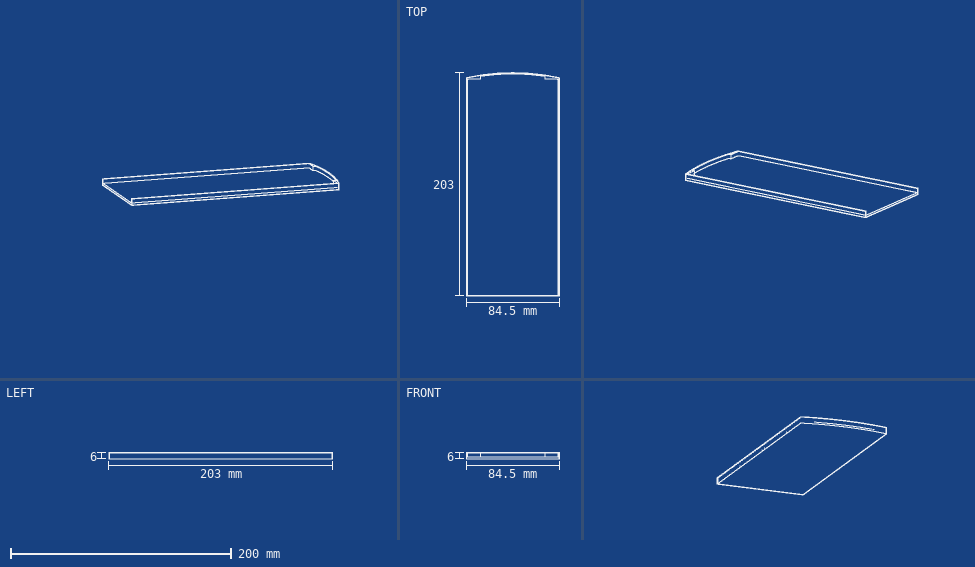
import cadquery as cq
import math

WIDTH = 84.5
LENGTH = 203.0
HEIGHT = 6.0

FLOOR_THICKNESS = 2.0
WALL_THICKNESS = 1.0
END_RADIUS = 196.0
OUTER_CORNER_RADIUS = 1.0
INNER_CORNER_RADIUS = 1.25

BLOCK_FACE_FROM_CROWN = 5.75
RECESS_WIDTH = 58.75
RECESS_CORNER_RADIUS = 0.5

OPEN_END_Y = -LENGTH / 2
CROWN_Y = LENGTH / 2
ARC_CENTER_Y = CROWN_Y - END_RADIUS
BLOCK_FACE_Y = CROWN_Y - BLOCK_FACE_FROM_CROWN
RECESS_START_Y = 0.0
INNER_WIDTH = WIDTH - 2 * WALL_THICKNESS
INNER_END_RADIUS = END_RADIUS - WALL_THICKNESS
WALL_HEIGHT = HEIGHT - FLOOR_THICKNESS


def bowed_slab(width, start_y, radius, base_z, height):
    """Slab with straight sides and a bowed +Y end, its arc centred on the tray's arc centre."""
    half_width = width / 2
    shoulder_y = ARC_CENTER_Y + math.sqrt(radius**2 - half_width**2)
    return (
        cq.Workplane("XY", origin=(0, 0, base_z))
        .moveTo(-half_width, start_y)
        .lineTo(half_width, start_y)
        .lineTo(half_width, shoulder_y)
        .threePointArc((0, ARC_CENTER_Y + radius), (-half_width, shoulder_y))
        .close()
        .extrude(height)
    )


def outer_body():
    """Full-height body with its bowed-end corners rounded."""
    body = bowed_slab(WIDTH, OPEN_END_Y, END_RADIUS, 0, HEIGHT)
    return body.edges("|Z").edges(">Y").fillet(OUTER_CORNER_RADIUS)


def main_cavity():
    """Space between the side walls, open at the -Y end and stopped by the corner blocks."""
    cavity_length = BLOCK_FACE_Y - OPEN_END_Y
    cavity = (
        cq.Workplane("XY", origin=(0, OPEN_END_Y + cavity_length / 2, FLOOR_THICKNESS))
        .rect(INNER_WIDTH, cavity_length)
        .extrude(WALL_HEIGHT)
    )
    return cavity.edges("|Z").edges(">Y").fillet(INNER_CORNER_RADIUS)


def end_recess():
    """Recess between the corner blocks, following the bowed end wall."""
    recess = bowed_slab(RECESS_WIDTH, RECESS_START_Y, INNER_END_RADIUS, FLOOR_THICKNESS, WALL_HEIGHT)
    return recess.edges("|Z").edges(">Y").fillet(RECESS_CORNER_RADIUS)


result = outer_body().cut(main_cavity()).cut(end_recess())